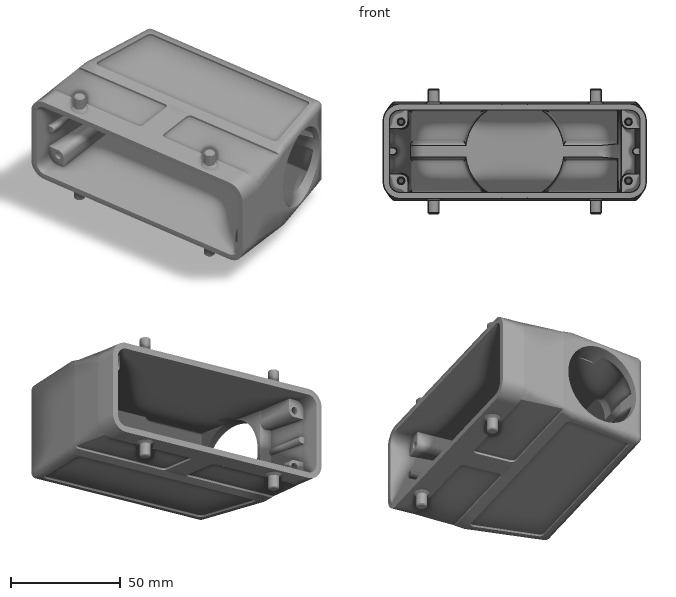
import cadquery as cq
import math

mouth_width = 120.0
depth = 76.0
pin_span = 57.0

wall = 2.9
collar_depth = 10.8
panel_depth_end = 31.9
flare_end = 36.8

collar_height = 43.0
hood_height = 45.1
flare_width = 115.5
side_slope = 0.19
collar_corner = 7.5
hood_corner = 2.8
end_fillet = 2.5

panel_recess = 1.0
lower_panel_gap = 11.6
panel_corner = 2.2
upper_panel_end = 71.3
upper_panel_wide = 103.5
upper_panel_narrow = 91.2

cavity_height = 37.5
cavity_depth = depth - wall
deep_corner = 1.0
floor_fillet = 0.7

pad_height = 3.0
disc_flank = 0.7
strip_flank = 1.5
disc_diameter = 44.9
strip_width = 5.3

post_x = 51.8
post_z = 13.5
post_diameter = 6.1
post_draft = 0.7
post_start = 9.6
screw_bottom_diameter = 2.5
screw_mouth_diameter = 3.5
screw_depth = 14.4

rib_tip_diameter = 3.0
rib_draft = 0.7
rib_start = 9.0
rib_x = 55.5

boss_start = 31.2
boss_mouth_x = 48.6
boss_deep_x = 46.8
entry_diameter = 38.5
entry_graze_x = 38.0

pin_diameter = 5.0
pin_x = 37.0
pin_y = 5.9
pin_base_diameter = 7.7
pin_flare_height = 1.1
pin_chamfer = 0.5

end_width = flare_width - 2 * side_slope * (depth - panel_depth_end)
flare_end_width = flare_width - 2 * side_slope * (flare_end - panel_depth_end)
cavity_end_width = flare_width - 2 * wall - 2 * side_slope * (cavity_depth - panel_depth_end)
strip_face = cavity_depth - pad_height
far = mouth_width


def facing_end(y):
    """Workplane at depth y: local x is X, local y is Z, extruding toward -Y."""
    return cq.Workplane("XZ", origin=(0, y, 0))


def rounded_section(y, width, height, corner):
    """Rounded rectangular wire across the hood at depth y."""
    outline = cq.Workplane("XY").rect(width, height).extrude(1.2).edges("|Z").fillet(corner)
    wire = outline.faces("<Z").wires().val()
    return wire.rotate(cq.Vector(0, 0, 0), cq.Vector(1, 0, 0), 90).translate(cq.Vector(0, y, 0))


def loft(*sections):
    """Straight-sided solid through a run of (y, width, height, corner) sections."""
    return cq.Workplane(cq.Solid.makeLoft([rounded_section(*s) for s in sections], True))


def block(x_range, y_range, z_range):
    """Box filling the given (low, high) ranges."""
    (x0, x1), (y0, y1), (z0, z1) = x_range, y_range, z_range
    return cq.Workplane("XY").box(x1 - x0, y1 - y0, z1 - z0, centered=False).translate((x0, y0, z0))


def both_sides(solid, plane):
    """The solid together with its mirror image across an origin plane."""
    return solid.union(solid.mirror(plane))


def outer_shell():
    """Drafted hood, its closed end rounded all round."""
    shell = loft(
        (0, mouth_width, collar_height, collar_corner),
        (collar_depth, mouth_width, collar_height, collar_corner),
        (panel_depth_end, flare_width, collar_height, hood_corner),
        (flare_end, flare_end_width, hood_height, hood_corner),
        (depth, end_width, hood_height, hood_corner),
    )
    return shell.faces(">Y").edges().fillet(end_fillet)


def lower_panels():
    """Shallow panels beside the middle bridge, open toward the end walls."""
    floor = collar_height / 2 - panel_recess
    panel = block(
        (lower_panel_gap / 2, far),
        (collar_depth, panel_depth_end),
        (floor, collar_height / 2),
    )
    panel = panel.edges("|Z and <X").fillet(panel_corner)
    return both_sides(both_sides(panel, "YZ"), "XY")


def upper_panels():
    """Shallow tapering panel on the top and bottom faces."""
    floor = hood_height / 2 - panel_recess
    panel = (
        cq.Workplane("XY", origin=(0, 0, floor))
        .moveTo(-upper_panel_wide / 2, flare_end)
        .lineTo(upper_panel_wide / 2, flare_end)
        .lineTo(upper_panel_narrow / 2, upper_panel_end)
        .lineTo(-upper_panel_narrow / 2, upper_panel_end)
        .close()
        .extrude(2 * panel_recess)
        .edges("|Z")
        .fillet(panel_corner)
    )
    return both_sides(panel, "XY")


def draft_angle(spread, length):
    """Taper in degrees that shifts a side by spread over length."""
    return math.degrees(math.atan(spread / length))


def end_pads():
    """Disc and cross strip that thicken the closed end, with sloping flanks."""
    floor = facing_end(cavity_depth)
    disc = floor.circle(disc_diameter / 2 + disc_flank)
    disc = disc.extrude(pad_height, taper=draft_angle(disc_flank, pad_height))
    strip = floor.rect(2 * far, strip_width + 2 * strip_flank)
    strip = strip.extrude(pad_height, taper=draft_angle(strip_flank, pad_height))
    return disc.union(strip)


def drafted_pillar(x, z, start, tip_radius, spread):
    """Round pillar from the closed end to depth start, thinning toward its tip."""
    length = depth - start
    base = facing_end(depth).center(x, z).circle(tip_radius + spread)
    return base.extrude(length, taper=draft_angle(spread, length))


def screw_posts():
    """Four corner posts, rounded on the inner corner and filled out to the walls."""
    radius = post_diameter / 2
    run = (post_start, depth)
    post = drafted_pillar(post_x, post_z, post_start, radius, post_draft)
    post = post.union(block((post_x - radius, far), run, (post_z, far)))
    post = post.union(block((post_x, far), run, (post_z - radius, far)))
    return both_sides(both_sides(post, "YZ"), "XY")


def side_ribs():
    """Round-nosed rib along the middle of each end wall."""
    radius = rib_tip_diameter / 2
    rib = drafted_pillar(rib_x, 0, rib_start, radius, rib_draft)
    rib = rib.union(block((rib_x, far), (rib_start, depth), (-radius, radius)))
    return both_sides(rib, "YZ")


def entry_boss():
    """Thick wall on the inside of the +X end, around the side cable entry."""
    return (
        cq.Workplane("XY", origin=(0, 0, -cavity_height))
        .moveTo(boss_mouth_x, boss_start)
        .lineTo(far, boss_start)
        .lineTo(far, depth)
        .lineTo(boss_deep_x, depth)
        .close()
        .extrude(2 * cavity_height)
    )


def cavity():
    """Hollow inside of the hood, less everything that stands in it."""
    mouth_corner = collar_corner - wall
    inner_mouth = mouth_width - 2 * wall
    space = loft(
        (0, inner_mouth, cavity_height, mouth_corner),
        (collar_depth, inner_mouth, cavity_height, mouth_corner),
        (panel_depth_end, flare_width - 2 * wall, cavity_height, deep_corner),
        (cavity_depth, cavity_end_width, cavity_height, deep_corner),
    )
    space = space.cut(end_pads())
    space = space.faces(">Y").edges().fillet(floor_fillet)
    for feature in (screw_posts(), side_ribs(), entry_boss()):
        space = space.cut(feature)
    return space


def entry_bore():
    """Cable entry square to the leaning +X end wall, just grazing the strip inside."""
    radius = entry_diameter / 2
    lean = math.atan(side_slope)
    outward = cq.Vector(math.cos(lean), math.sin(lean), 0)
    graze = cq.Vector(entry_graze_x, strip_face, 0)
    start = graze + cq.Vector(math.sin(lean), -math.cos(lean), 0) * radius
    return cq.Workplane(cq.Solid.makeCylinder(radius, mouth_width / 2, start, outward))


def screw_holes():
    """Slightly tapered blind hole in the tip of each corner post."""
    taper = draft_angle((screw_mouth_diameter - screw_bottom_diameter) / 2, screw_depth)
    hole = facing_end(post_start).center(post_x, post_z).circle(screw_mouth_diameter / 2)
    hole = hole.extrude(-screw_depth, taper=taper)
    return both_sides(both_sides(hole, "YZ"), "XY")


def locking_pins():
    """Pins above and below the collar, each with a conical flare at its root."""
    root = collar_height / 2
    radius = pin_diameter / 2
    tip = pin_span / 2
    pin = (
        cq.Workplane("XZ")
        .moveTo(0, root - wall / 2)
        .lineTo(pin_base_diameter / 2, root - wall / 2)
        .lineTo(pin_base_diameter / 2, root)
        .lineTo(radius, root + pin_flare_height)
        .lineTo(radius, tip - pin_chamfer)
        .lineTo(radius - pin_chamfer, tip)
        .lineTo(0, tip)
        .close()
        .revolve(360, (0, 0, 0), (0, 1, 0))
        .translate((pin_x, pin_y, 0))
    )
    return both_sides(both_sides(pin, "YZ"), "XY")


result = outer_shell().cut(lower_panels()).cut(upper_panels()).cut(cavity())
result = result.cut(entry_bore()).cut(screw_holes()).union(locking_pins())